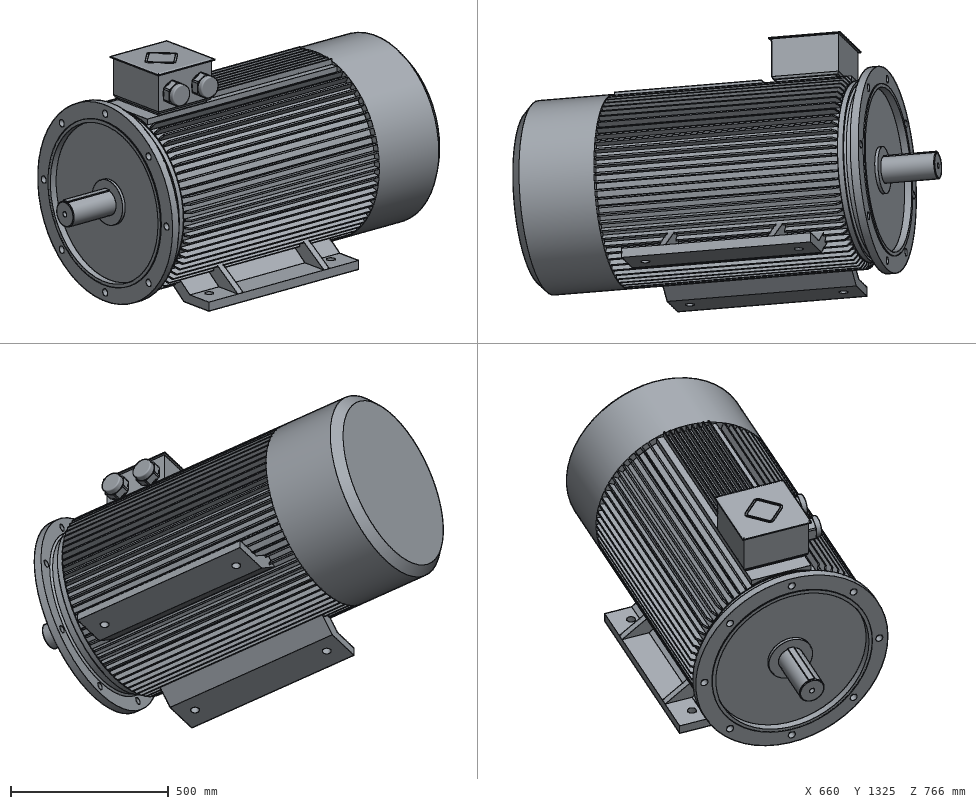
import cadquery as cq
import math


shaft_dia = 85.0
shaft_length = 168.0
shaft_chamfer = 3.0
center_hole_dia = 17.0
center_hole_depth = 33.0
key_width = 21.0
key_top = 45.0

flange_dia = 660.0
flange_thickness = 26.0
spigot_dia = 550.0
spigot_height = 4.0
recess_dia = 526.0
recess_depth = 24.0
boss_dia = 150.0
boss_height = 10.0
bolt_circle_dia = 600.0
bolt_hole_dia = 24.0
bolt_count = 8

neck_chamfer = 7.0
collar_dia = 580.0
collar_front = 62.0
collar_back = 81.0

core_dia = 575.0
fin_tip_dia = 620.0
fin_thickness = 5.0
fin_pitch_angle = 5
fin_free_angle = 25
fin_front = 83.0
fin_chamfer_length = 12.0
fin_front_dia = 591.0
fin_embed = 13.0

cowl_dia = fin_tip_dia
cowl_front = 880.0
cowl_chamfer = 29.0
motor_back = 1325 - shaft_length

pad_width = 204.0
pad_top = 289.0
pad_front = 89.0
rib_count = 9
rib_thickness = 4.0
rib_span = 152.0
rib_top = 307.0
rib_front = 385.0
rib_chamfer = 8.0

box_center_y = 240.0
box_size = 221.0
box_bottom = 306.0
box_taper_height = 8.0
box_taper_inset = 4.0
pedestal_inset = 12.0
lid_size = 236.0
lid_thickness = 5.0
lid_chamfer_height = 2.0
lid_top = 766.0 - flange_dia / 2
label_center_y = 235.0
label_size = 98.0
label_groove_width = 7.0
label_groove_depth = 3.0
label_corner_radius = 15.0

gland_spacing = 119.0
gland_z = 363.0
gland_neck_dia = 66.0
gland_neck_length = 5.0
gland_hex_flats = 72.0
gland_hex_dia = 80.0
gland_hex_length = 28.0
gland_cap_dia = 70.0
gland_cap_length = 20.0
gland_cap_fillet = 4.0

foot_outer_x = 319.0
foot_bottom = -315.0
foot_thickness = 30.0
foot_front = 160.0
foot_back = 786.0
foot_bend_top_x = 227.0
foot_bend_bottom_x = 197.0
foot_ramp_angle = 38
foot_ramp_run = 73.0
gusset_thickness = 23.0
gusset_angle = 34.7
gusset_run = 113.0
gusset_positions = (293.0, 652.0)
foot_hole_dia = 28.0
foot_hole_x = 253.0
foot_hole_positions = (219.0, 726.0)


def disc(diameter, y_start, y_end):
    """Cylinder on the shaft axis between two Y positions."""
    plane = cq.Workplane("XZ", origin=(0, y_start, 0))
    return plane.circle(diameter / 2).extrude(y_start - y_end)


def block(x_size, y_start, y_end, z_bottom, z_top):
    """Box centred on X = 0."""
    size = (x_size, y_end - y_start, z_top - z_bottom)
    return cq.Workplane("XY").box(*size).translate((0, (y_start + y_end) / 2, (z_bottom + z_top) / 2))


def make_flange():
    face_y = -spigot_height
    floor_y = face_y + recess_depth
    flange = disc(flange_dia, 0, flange_thickness)
    flange = flange.union(disc(spigot_dia, face_y, collar_front))
    neck_end_dia = spigot_dia + 2 * neck_chamfer
    flare_at_flange = disc(neck_end_dia, 0, flange_thickness + neck_chamfer).faces(">Y").chamfer(neck_chamfer)
    flare_at_collar = disc(neck_end_dia, collar_front - neck_chamfer, collar_back)
    flare_at_collar = flare_at_collar.faces("<Y").chamfer(neck_chamfer)
    flange = flange.union(flare_at_flange).union(flare_at_collar)
    flange = flange.union(disc(collar_dia, collar_front, collar_back))
    flange = flange.cut(disc(recess_dia, face_y, floor_y))
    flange = flange.union(disc(boss_dia, floor_y - boss_height, floor_y))
    holes = (
        cq.Workplane("XZ")
        .polarArray(bolt_circle_dia / 2, 0, 360, bolt_count)
        .circle(bolt_hole_dia / 2)
        .extrude(-flange_thickness)
    )
    return flange.cut(holes)


def make_shaft():
    shaft = disc(shaft_dia, -shaft_length, flange_thickness).faces("<Y").chamfer(shaft_chamfer)
    key = block(key_width, shaft_chamfer - shaft_length, flange_thickness, 0, key_top)
    center_hole = disc(center_hole_dia, -shaft_length, center_hole_depth - shaft_length)
    return shaft.union(key).cut(center_hole)


def make_fins():
    """Radial fins around the housing, leaving the sector of the top pad free."""
    root_radius = core_dia / 2 - fin_embed
    fin_height = fin_tip_dia / 2 - root_radius + fin_embed
    first_angle = 90 + fin_free_angle
    covered_angle = 360 - 2 * fin_free_angle
    fin_count = covered_angle // fin_pitch_angle + 1
    fin_blanks = (
        cq.Workplane("XZ", origin=(0, fin_front, 0))
        .polarArray(root_radius + fin_height / 2, first_angle, covered_angle, fin_count)
        .rect(fin_height, fin_thickness)
        .extrude(fin_front - cowl_front)
    )
    chamfer_height = (fin_tip_dia - fin_front_dia) / 2
    envelope = disc(fin_tip_dia, fin_front, cowl_front)
    envelope = envelope.faces("<Y").chamfer(fin_chamfer_length, chamfer_height)
    return fin_blanks.intersect(envelope)


def make_housing():
    housing = disc(core_dia, collar_back, cowl_front)
    housing = housing.union(block(pad_width, pad_front, cowl_front, 0, pad_top))
    housing = housing.union(make_fins())
    rib = block(rib_thickness, rib_front, cowl_front, pad_top - fin_embed, rib_top)
    rib = rib.edges("<Y and >Z").chamfer(rib_chamfer)
    rib_pitch = rib_span / (rib_count - 1)
    for index in range(rib_count):
        rib_x = index * rib_pitch - rib_span / 2
        housing = housing.union(rib.translate((rib_x, 0, 0)))
    return housing


def make_cowl():
    return disc(cowl_dia, cowl_front, motor_back).faces(">Y").chamfer(cowl_chamfer)


def square_block(size, z_bottom, z_top, center_y=box_center_y):
    """Square block centred on X = 0, at the terminal box unless another Y is given."""
    return block(size, center_y - size / 2, center_y + size / 2, z_bottom, z_top)


def make_terminal_box():
    lid_bottom = lid_top - lid_thickness
    taper_bottom = box_bottom - box_taper_height
    box = square_block(box_size, taper_bottom, lid_bottom)
    box = box.faces("<Z").chamfer(box_taper_height, box_taper_inset)
    pedestal = square_block(box_size - 2 * pedestal_inset, pad_top - fin_embed, box_bottom)
    lid = square_block(lid_size, lid_bottom, lid_top)
    lid = lid.faces(">Z").chamfer(lid_chamfer_height, (lid_size - box_size) / 2)
    return box.union(pedestal).union(lid).cut(make_label_groove())


def make_label_groove():
    """Rounded square groove in the lid, turned by 45 degrees."""
    inner_size = label_size - 2 * label_groove_width
    floor_z = lid_top - label_groove_depth
    outer = square_block(label_size, floor_z, lid_top, label_center_y).edges("|Z").fillet(label_corner_radius)
    inner = square_block(inner_size, floor_z, lid_top, label_center_y).edges("|Z")
    inner = inner.fillet(label_corner_radius - label_groove_width)
    axis_start = (0, label_center_y, 0)
    axis_end = (0, label_center_y, 1)
    return outer.cut(inner).rotate(axis_start, axis_end, 45)


def make_gland(y):
    """Cable gland pointing toward +X: neck, hexagon with trimmed corners and round cap."""
    box_side = box_size / 2
    hex_start = box_side + gland_neck_length
    hex_end = hex_start + gland_hex_length

    def section(x):
        return cq.Workplane("YZ", origin=(x, y, gland_z))

    neck = section(box_side).circle(gland_neck_dia / 2).extrude(gland_neck_length)
    hex_corner_dia = gland_hex_flats / math.cos(math.radians(30))
    nut = section(hex_start).polygon(6, hex_corner_dia).extrude(gland_hex_length)
    nut = nut.rotate((0, y, gland_z), (1, y, gland_z), 90)
    nut = nut.intersect(section(hex_start).circle(gland_hex_dia / 2).extrude(gland_hex_length))
    cap = section(hex_end).circle(gland_cap_dia / 2).extrude(gland_cap_length)
    cap = cap.faces(">X").edges().fillet(gland_cap_fillet)
    return neck.union(nut).union(cap)


def make_foot():
    """Foot on the +X side: flat plate bent up into the housing, gussets and bolt holes."""
    foot_top = foot_bottom + foot_thickness
    ramp_rise = foot_ramp_run * math.tan(math.radians(foot_ramp_angle))
    foot = (
        cq.Workplane("XZ", origin=(0, foot_front, 0))
        .moveTo(foot_outer_x, foot_bottom)
        .lineTo(foot_outer_x, foot_top)
        .lineTo(foot_bend_top_x, foot_top)
        .lineTo(foot_bend_top_x - foot_ramp_run, foot_top + ramp_rise)
        .lineTo(foot_bend_bottom_x - foot_ramp_run, foot_bottom + ramp_rise)
        .lineTo(foot_bend_bottom_x, foot_bottom)
        .close()
        .extrude(foot_front - foot_back)
    )
    gusset_inner_x = foot_outer_x - gusset_run
    gusset_rise = gusset_run * math.tan(math.radians(gusset_angle))
    for y in gusset_positions:
        gusset = (
            cq.Workplane("XZ", origin=(0, y, 0))
            .moveTo(foot_outer_x, foot_top)
            .lineTo(gusset_inner_x, foot_top + gusset_rise)
            .lineTo(foot_bend_top_x - foot_ramp_run, foot_top + ramp_rise)
            .lineTo(foot_bend_top_x, foot_top)
            .close()
            .extrude(gusset_thickness / 2, both=True)
        )
        foot = foot.union(gusset)
    hole_points = [(foot_hole_x, y) for y in foot_hole_positions]
    holes = (
        cq.Workplane("XY", origin=(0, 0, foot_bottom))
        .pushPoints(hole_points)
        .circle(foot_hole_dia / 2)
        .extrude(foot_thickness)
    )
    return foot.cut(holes)


right_foot = make_foot()
left_foot = right_foot.mirror("YZ")

result = make_flange().union(make_housing()).union(make_cowl()).union(make_shaft())
result = result.union(right_foot).union(left_foot).union(make_terminal_box())
for side in (-1, 1):
    result = result.union(make_gland(box_center_y + side * gland_spacing / 2))